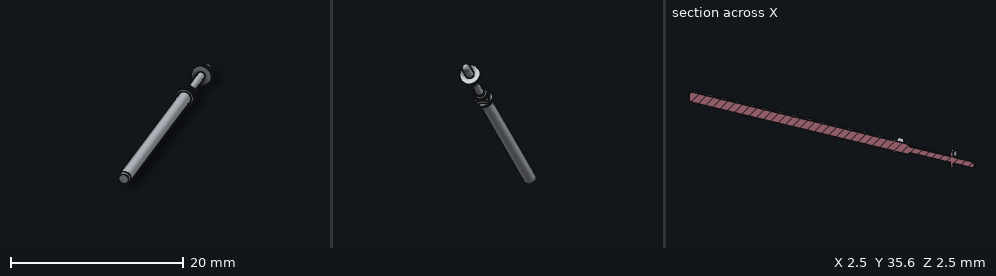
import cadquery as cq
import math

total_length = 35.6
tip_y = total_length / 2
end_y = -total_length / 2

pin_radius = 0.5
washer_radius = 1.25
washer_front = tip_y - 2.65
washer_thickness = 0.45

barrel_radius = 0.82
barrel_front = tip_y - 8.08
nose_length = 0.3
nose_end_radius = 0.6
end_chamfer_length = 0.25
end_chamfer_depth = 0.2

flange_radius = 1.15
flange_front = tip_y - 9.83
flange_thickness = 0.32

square_width = 2 * barrel_radius
square_length = 0.95
square_corner_radius = flange_radius
square_cone_angle = 45.0


def disc(radius, front, length):
    """Cylinder on the Y axis that runs from front towards -Y."""
    return cq.Workplane("XZ", origin=(0, front, 0)).circle(radius).extrude(length)


def revolved(profile):
    """Turn a closed (radius, y) sketch about the Y axis."""
    return profile.close().revolve(360, (0, 0, 0), (0, 1, 0))


def make_pin():
    """Plunger rod with a hemispherical tip."""
    dome_y = tip_y - pin_radius
    mid = pin_radius * math.sqrt(0.5)
    return revolved(
        cq.Workplane("XY")
        .moveTo(0, tip_y)
        .threePointArc((mid, dome_y + mid), (pin_radius, dome_y))
        .lineTo(pin_radius, flange_front)
        .lineTo(0, flange_front)
    )


def make_barrel():
    """Barrel with a tapered nose and a chamfered far end."""
    return revolved(
        cq.Workplane("XY")
        .moveTo(0, barrel_front)
        .lineTo(nose_end_radius, barrel_front)
        .lineTo(barrel_radius, barrel_front - nose_length)
        .lineTo(barrel_radius, end_y + end_chamfer_length)
        .lineTo(barrel_radius - end_chamfer_depth, end_y)
        .lineTo(0, end_y)
    )


def make_square():
    """Square section whose corners are turned down to a cone at the front."""
    square_front = flange_front + square_length
    cone_length = (square_corner_radius - barrel_radius) / math.tan(math.radians(square_cone_angle))
    envelope = revolved(
        cq.Workplane("XY")
        .moveTo(0, square_front)
        .lineTo(barrel_radius, square_front)
        .lineTo(square_corner_radius, square_front - cone_length)
        .lineTo(square_corner_radius, flange_front)
        .lineTo(0, flange_front)
    )
    block = (
        cq.Workplane("XZ", origin=(0, square_front, 0))
        .rect(square_width, square_width)
        .extrude(square_length)
    )
    return block.intersect(envelope)


washer = disc(washer_radius, washer_front, washer_thickness)
flange = disc(flange_radius, flange_front, flange_thickness)

result = make_barrel().union(make_square()).union(flange).union(make_pin()).union(washer)